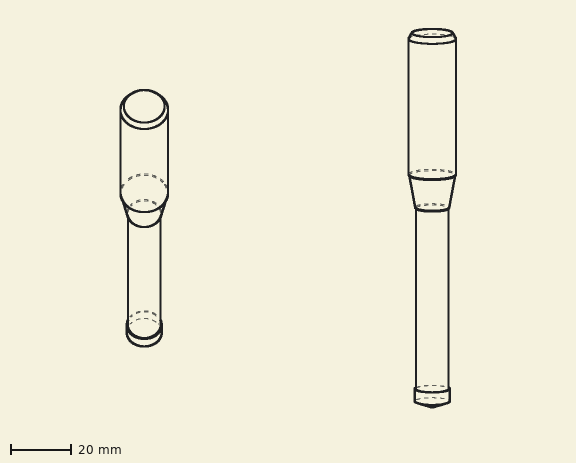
import cadquery as cq

TOTAL_LENGTH = 127.1
SHANK_RADIUS = 15.9 / 2
NECK_RADIUS = 5.5
HEAD_RADIUS = 5.8

POINT_HEIGHT = 2.2
HEAD_TOP = 6.4
TAPER_BOTTOM = 68.0
TAPER_TOP = 78.8

CHAMFER_HEIGHT = 2.0
CHAMFER_WIDTH = 1.1

BEVEL_WIDTH = 0.3
BEVEL_HEIGHT = 0.4


def revolve_profile(points):
    """Revolve a closed (radius, height) outline around the Z axis."""
    outline = cq.Workplane("XZ").polyline(points).close()
    return outline.revolve(360, (0, 0, 0), (0, 1, 0))


def make_holder():
    """Chamfered shank that tapers down to a slim neck."""
    return revolve_profile([
        (0, HEAD_TOP),
        (NECK_RADIUS, HEAD_TOP),
        (NECK_RADIUS, TAPER_BOTTOM - BEVEL_HEIGHT),
        (NECK_RADIUS + BEVEL_WIDTH, TAPER_BOTTOM),
        (SHANK_RADIUS - BEVEL_WIDTH, TAPER_TOP),
        (SHANK_RADIUS, TAPER_TOP + BEVEL_HEIGHT),
        (SHANK_RADIUS, TOTAL_LENGTH - CHAMFER_HEIGHT),
        (SHANK_RADIUS - CHAMFER_WIDTH, TOTAL_LENGTH),
        (0, TOTAL_LENGTH),
    ])


def make_cutting_head():
    """Short cylindrical head with a conical point, flat against the neck."""
    return revolve_profile([
        (0, 0),
        (HEAD_RADIUS, POINT_HEIGHT),
        (HEAD_RADIUS, HEAD_TOP),
        (0, HEAD_TOP),
    ])


holder = make_holder()
cutting_head = make_cutting_head()
result = cq.Compound.makeCompound([holder.val(), cutting_head.val()])